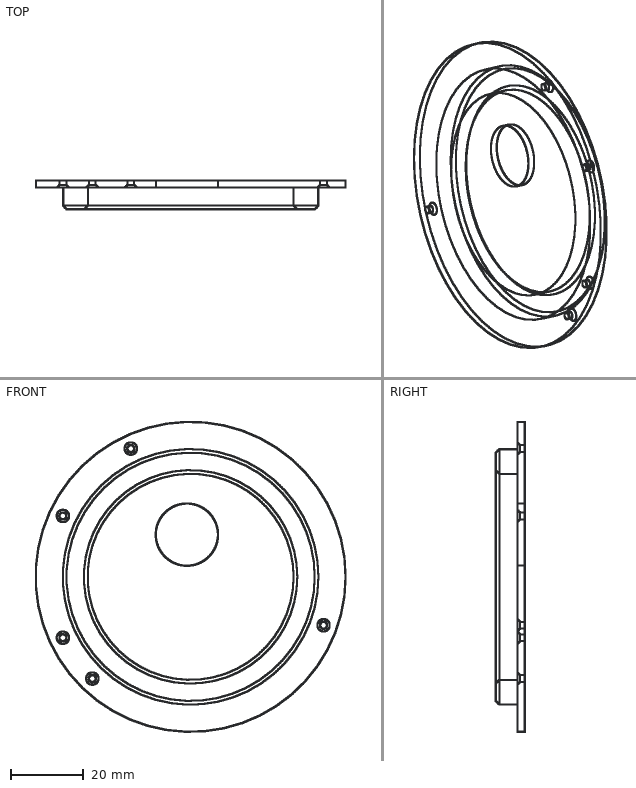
import cadquery as cq
import math

flange_radius = 42.5
flange_thickness = 2.0
total_depth = 8.0

ring_outer_radius = 35.0
ring_inner_radius = 28.2
ring_chamfer = 1.0

opening_radius = 8.5
opening_x = -1.0
opening_z = 11.6

screw_circle_radius = 38.8
screw_angles = (115, 154.5, 205.5, 226, 340)
screw_hole_diameter = 1.9
countersink_diameter = 3.4
countersink_angle = 90


def make_flange():
    return cq.Workplane("XZ").circle(flange_radius).extrude(flange_thickness)


def make_ring():
    """Ring with both edges of its front face chamfered."""
    return (
        cq.Workplane("XZ", origin=(0, -flange_thickness, 0))
        .circle(ring_outer_radius)
        .circle(ring_inner_radius)
        .extrude(total_depth - flange_thickness)
        .faces("<Y")
        .chamfer(ring_chamfer)
    )


def cut_opening(body):
    cutter = (
        cq.Workplane("XZ")
        .center(opening_x, opening_z)
        .circle(opening_radius)
        .extrude(flange_thickness)
    )
    return body.cut(cutter)


def cut_screw_holes(body):
    """Holes countersunk from the front face of the flange."""
    centers = [
        (
            screw_circle_radius * math.cos(math.radians(angle)),
            screw_circle_radius * math.sin(math.radians(angle)),
        )
        for angle in screw_angles
    ]
    return (
        body.copyWorkplane(cq.Workplane("XZ", origin=(0, -flange_thickness, 0)))
        .pushPoints(centers)
        .cskHole(screw_hole_diameter, countersink_diameter, countersink_angle)
    )


result = make_flange().union(make_ring())
result = cut_opening(result)
result = cut_screw_holes(result)